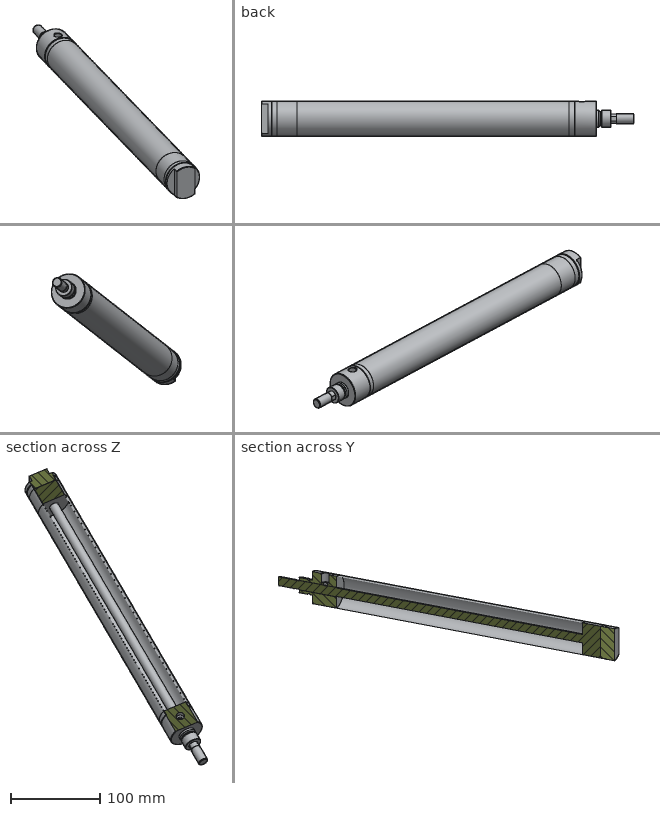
import cadquery as cq

TOTAL_LENGTH = 417.5
BODY_DIAMETER = 39.5

NOSE_START = 26.0
GROOVE_START = 36.0
GROOVE_END = 39.5
FRONT_CAP_START = 42.0
TUBE_START = 67.0
TUBE_END = 406.0
TONGUE_START = 410.5

WALL = 0.75
BORE_DIAMETER = BODY_DIAMETER - 2 * WALL
SPIGOT_LENGTH = 6.0
EDGE_CHAMFER = 0.63

NOSE_DIAMETER = 19.0
GROOVE_DIAMETER = 16.5
GROOVE_SLOPE = 1.3
NOSE_CHAMFER = 0.5

PORT_X = 58.5
PORT_DIAMETER = 8.8
PORT_CHAMFER = 1.0
PORT_FLOOR = 8.5
PASSAGE_DIAMETER = 4.0

THREAD_DIAMETER = 11.3
SHANK_DIAMETER = 11.0
STUD_CHAMFER = 1.0
FLATS_START = 19.5
FLATS_WIDTH = 9.5
PISTON_LENGTH = 22.5
PISTON_END = TUBE_END - SPIGOT_LENGTH

TONGUE_WIDTH = 22.0


def rod_along_x(diameter, start, end):
    """Solid round bar on the X axis between two stations."""
    return cq.Workplane("YZ", origin=(start, 0, 0)).circle(diameter / 2).extrude(end - start)


def cut_flats(bar, start, end, width):
    """Cut a pair of flats, facing -Y and +Y and `width` apart, between two stations of a bar."""
    block = cq.Workplane("XY").box(end - start, BODY_DIAMETER, 2 * BODY_DIAMETER)
    block_x = (start + end) / 2
    block_y = (width + BODY_DIAMETER) / 2
    for side in (-1, 1):
        bar = bar.cut(block.translate((block_x, side * block_y, 0)))
    return bar


def make_tube():
    outside = rod_along_x(BODY_DIAMETER, TUBE_START, TUBE_END)
    return outside.cut(rod_along_x(BORE_DIAMETER, TUBE_START, TUBE_END))


def make_nose():
    """Round nose with a chamfered tip and a groove that has sloping sides and a flat floor."""
    nose_radius = NOSE_DIAMETER / 2
    groove_radius = GROOVE_DIAMETER / 2
    profile = (
        cq.Workplane("XZ")
        .moveTo(NOSE_START, 0)
        .lineTo(NOSE_START, nose_radius - NOSE_CHAMFER)
        .lineTo(NOSE_START + NOSE_CHAMFER, nose_radius)
        .lineTo(GROOVE_START, nose_radius)
        .lineTo(GROOVE_START + GROOVE_SLOPE, groove_radius)
        .lineTo(GROOVE_END - GROOVE_SLOPE, groove_radius)
        .lineTo(GROOVE_END, nose_radius)
        .lineTo(FRONT_CAP_START, nose_radius)
        .lineTo(FRONT_CAP_START, 0)
        .close()
    )
    return profile.revolve(360, (0, 0, 0), (1, 0, 0))


def make_port_cutter():
    """Blind port with a countersunk mouth, and the narrow passage from its floor to the rod hole."""
    top = BODY_DIAMETER / 2
    port_radius = PORT_DIAMETER / 2
    passage_radius = PASSAGE_DIAMETER / 2
    profile = (
        cq.Workplane("XZ", origin=(PORT_X, 0, 0))
        .lineTo(passage_radius, 0)
        .lineTo(passage_radius, PORT_FLOOR)
        .lineTo(port_radius, PORT_FLOOR)
        .lineTo(port_radius, top - PORT_CHAMFER)
        .lineTo(port_radius + PORT_CHAMFER, top)
        .lineTo(0, top)
        .close()
    )
    return profile.revolve(360, (0, 0, 0), (0, 1, 0))


def make_front_cap():
    head = rod_along_x(BODY_DIAMETER, FRONT_CAP_START, TUBE_START).faces("<X or >X").chamfer(EDGE_CHAMFER)
    spigot_end = TUBE_START + SPIGOT_LENGTH
    spigot = rod_along_x(BORE_DIAMETER, TUBE_START, spigot_end)
    rod_hole = rod_along_x(SHANK_DIAMETER, NOSE_START, spigot_end)
    return head.union(make_nose()).union(spigot).cut(rod_hole).cut(make_port_cutter())


def make_rod():
    stud = rod_along_x(THREAD_DIAMETER, 0, FLATS_START).faces("<X").chamfer(STUD_CHAMFER)
    shank = rod_along_x(SHANK_DIAMETER, FLATS_START, PISTON_END)
    shaft = cut_flats(stud.union(shank), FLATS_START, NOSE_START, FLATS_WIDTH)
    return shaft.union(rod_along_x(BORE_DIAMETER, PISTON_END - PISTON_LENGTH, PISTON_END))


def make_rear_cap():
    end = rod_along_x(BODY_DIAMETER, TUBE_END, TOTAL_LENGTH).faces("<X or >X").chamfer(EDGE_CHAMFER)
    end = cut_flats(end, TONGUE_START, TOTAL_LENGTH, TONGUE_WIDTH)
    return end.union(rod_along_x(BORE_DIAMETER, TUBE_END - SPIGOT_LENGTH, TUBE_END))


tube = make_tube()
front_cap = make_front_cap()
rod = make_rod()
rear_cap = make_rear_cap()

result = cq.Compound.makeCompound([tube.val(), front_cap.val(), rod.val(), rear_cap.val()])